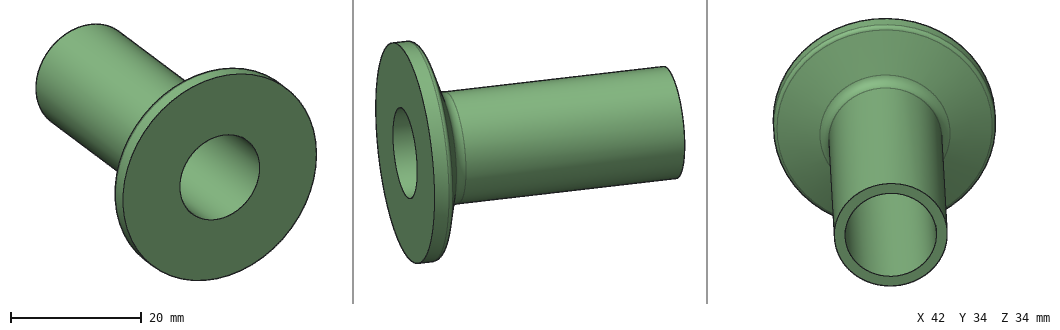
import cadquery as cq
import math

total_length = 42.0
tube_diameter = 17.3
bore_diameter = 14.0
flange_diameter = 34.0

rim_thickness = 2.85
cone_angle = 20.0
rim_fillet_radius = 0.8
neck_fillet_radius = 2.0

bore_radius = bore_diameter / 2
tube_radius = tube_diameter / 2
flange_radius = flange_diameter / 2
cone_slope = math.radians(cone_angle)
rim_start = total_length - rim_thickness
cone_start = rim_start - (flange_radius - tube_radius) * math.tan(cone_slope)

half_turn = (math.pi / 2 - cone_slope) / 2


def corner_arc(corner_x, corner_radius, round_radius, side):
    """Start, middle and end (x, radius) of the round at a corner of the cone.

    side is +1 at the neck, where the tube turns outwards into the cone,
    and -1 at the rim, where the round lies the other way about.
    """
    setback = round_radius * math.tan(half_turn)
    axial_end = (corner_x - side * setback, corner_radius)
    middle = (
        axial_end[0] + side * round_radius * math.sin(half_turn),
        corner_radius + side * round_radius * (1 - math.cos(half_turn)),
    )
    cone_end = (
        corner_x + side * setback * math.sin(cone_slope),
        corner_radius + side * setback * math.cos(cone_slope),
    )
    return axial_end, middle, cone_end


def make_flanged_tube():
    """Revolve the wall section: tube, neck round, cone, rim round and rim around a straight bore."""
    neck_tube_end, neck_middle, neck_cone_end = corner_arc(cone_start, tube_radius, neck_fillet_radius, 1)
    rim_end, rim_middle, rim_cone_end = corner_arc(rim_start, flange_radius, rim_fillet_radius, -1)
    section = (
        cq.Workplane("XY")
        .moveTo(0, bore_radius)
        .lineTo(0, tube_radius)
        .lineTo(*neck_tube_end)
        .threePointArc(neck_middle, neck_cone_end)
        .lineTo(*rim_cone_end)
        .threePointArc(rim_middle, rim_end)
        .lineTo(total_length, flange_radius)
        .lineTo(total_length, bore_radius)
        .close()
    )
    return section.revolve(360, (0, 0, 0), (1, 0, 0))


result = make_flanged_tube()